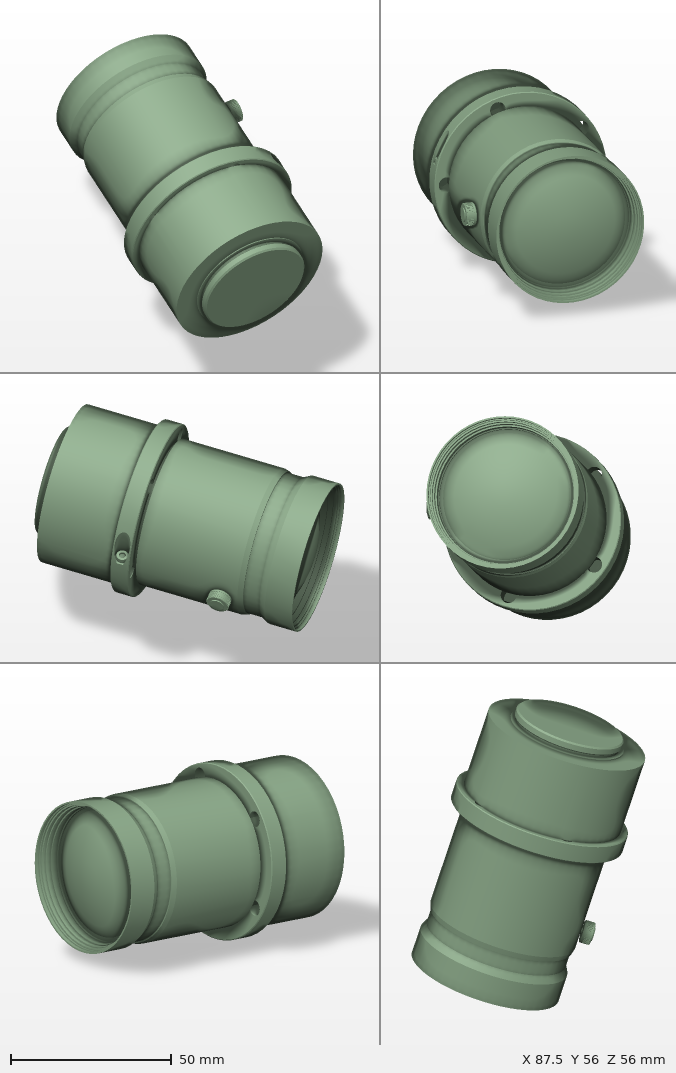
import cadquery as cq
import math

length = 87.5

front_rim_end = 8.9
neck_start = 11.4
neck_end = 16.45
barrel_start = 18.2
barrel_end = 51.6
collar_step = 52.2
flange_start = 52.7
flange_end = 58.6
body_end = 83.65
seat_disc_end = 84.0
mount_neck_end = 84.8
thread_start = 85.2
thread_end = 87.0

front_rim_diameter = 48.0
neck_diameter = 45.4
barrel_shoulder_diameter = 46.4
barrel_diameter = 47.3
collar_diameter = 44.8
collar_step_diameter = 44.3
flange_diameter = 56.0
body_diameter = 51.2
seat_disc_diameter = 37.0
mount_neck_diameter = 34.0
thread_diameter = 35.0
flange_chamfer = 0.3

bore_steps = [(47.0, 1.2), (46.3, 1.8), (45.2, 3.1), (44.3, 4.7), (43.2, 6.8)]
glass_recess_diameter = 42.35
glass_diameter = 40.1
glass_edge_x = 7.4
glass_apex_x = 1.75

flange_hole_count = 5
flange_hole_diameter = 5.0
flange_hole_circle_radius = 24.15

thumb_screw_x = 23.45
stem_diameter = 2.0
knob_diameter = 7.3
knob_start_y = 24.15
knurl_start_y = 25.0
knob_end_y = 27.5
knob_cap_diameter = 4.5
knob_cap_end_y = 27.8
knob_chamfer = 0.3
knurl_count = 40
knurl_depth = 0.2
knurl_width = 0.35

clamp_screw_x = (flange_start + flange_end) / 2
clamp_screw_y = 25.0
clamp_pocket_diameter = 5.0
clamp_pocket_floor_z = 6.1
clamp_head_diameter = 3.7
clamp_head_top_z = 7.9
clamp_socket_diameter = 2.2
clamp_socket_depth = 0.9


def cylinder_x(diameter, start, end):
    return cq.Workplane("YZ", origin=(start, 0, 0)).circle(diameter / 2).extrude(end - start)


def cylinder_y(diameter, x, start, end):
    plane = cq.Plane(origin=(x, start, 0), xDir=(1, 0, 0), normal=(0, 1, 0))
    return cq.Workplane(plane).circle(diameter / 2).extrude(end - start)


def cylinder_z(diameter, x, y, start, end):
    return cq.Workplane("XY", origin=(x, y, start)).circle(diameter / 2).extrude(end - start)


def revolve_about_x(profile):
    return profile.close().revolve(360, (0, 0, 0), (1, 0, 0))


def make_shell():
    """Solid of revolution for everything on the optical axis except the flange."""
    outline = [
        (0, front_rim_diameter),
        (front_rim_end, front_rim_diameter),
        (neck_start, neck_diameter),
        (neck_end, neck_diameter),
        (neck_end, barrel_shoulder_diameter),
        (barrel_start, barrel_diameter),
        (barrel_end, barrel_diameter),
        (barrel_end, collar_diameter),
        (collar_step, collar_diameter),
        (collar_step, collar_step_diameter),
        (flange_end, collar_step_diameter),
        (flange_end, body_diameter),
        (body_end, body_diameter),
        (body_end, seat_disc_diameter),
        (seat_disc_end, seat_disc_diameter),
        (seat_disc_end, mount_neck_diameter),
        (mount_neck_end, mount_neck_diameter),
        (thread_start, thread_diameter),
        (thread_end, thread_diameter),
        (length, mount_neck_diameter),
    ]
    points = [(x, diameter / 2) for x, diameter in outline]
    profile = cq.Workplane("XY").moveTo(0, 0).polyline(points, includeCurrent=True).lineTo(length, 0)
    return revolve_about_x(profile)


def make_front_cavity():
    """Stepped bore down to the glass, leaving the convex front element standing."""
    glass_radius = glass_diameter / 2
    sag = glass_edge_x - glass_apex_x
    dome_radius = (glass_radius**2 + sag**2) / (2 * sag)
    mid_radius = glass_radius / 2
    mid_x = glass_apex_x + dome_radius - math.sqrt(dome_radius**2 - mid_radius**2)

    profile = cq.Workplane("XY").moveTo(0, 0)
    start = 0
    for diameter, depth in bore_steps:
        profile = profile.lineTo(start, diameter / 2).lineTo(depth, diameter / 2)
        start = depth
    profile = profile.lineTo(start, glass_recess_diameter / 2)
    profile = profile.lineTo(glass_edge_x, glass_recess_diameter / 2)
    profile = profile.lineTo(glass_edge_x, glass_radius)
    profile = profile.threePointArc((mid_x, mid_radius), (glass_apex_x, 0))
    return revolve_about_x(profile)


def make_flange():
    """Chamfered ring with a circle of holes, one of them on the +Y side."""
    flange = cylinder_x(flange_diameter, flange_start, flange_end).edges().chamfer(flange_chamfer)
    holes = (
        cq.Workplane("YZ", origin=(flange_start, 0, 0))
        .polarArray(flange_hole_circle_radius, 0, 360, flange_hole_count)
        .circle(flange_hole_diameter / 2)
        .extrude(flange_end - flange_start)
    )
    return flange.cut(holes)


def add_clamp_screw(part):
    """Pocket in the flange holding a socket head screw."""
    x, y = clamp_screw_x, clamp_screw_y
    floor = clamp_pocket_floor_z
    pocket = cylinder_z(clamp_pocket_diameter, x, y, floor, flange_diameter / 2)
    head = cylinder_z(clamp_head_diameter, x, y, floor, clamp_head_top_z)
    socket_floor = clamp_head_top_z - clamp_socket_depth
    socket = cylinder_z(clamp_socket_diameter, x, y, socket_floor, clamp_head_top_z)
    return part.cut(pocket).union(head.cut(socket))


def make_thumb_screw():
    """Knurled knob on a thin stem rooted in the barrel."""
    stem = cylinder_y(stem_diameter, thumb_screw_x, neck_diameter / 2, knob_end_y)
    knob = cylinder_y(knob_diameter, thumb_screw_x, knob_start_y, knob_end_y).edges().chamfer(knob_chamfer)
    cap = cylinder_y(knob_cap_diameter, thumb_screw_x, knob_end_y, knob_cap_end_y)

    knob_radius = knob_diameter / 2
    plane = cq.Plane(origin=(thumb_screw_x, knurl_start_y, 0), xDir=(1, 0, 0), normal=(0, 1, 0))
    knurls = (
        cq.Workplane(plane)
        .polarArray(knob_radius, 0, 360, knurl_count)
        .rect(2 * knurl_depth, knurl_width)
        .extrude(knob_end_y - knurl_start_y)
    )
    return stem.union(knob.cut(knurls)).union(cap)


lens = make_shell().union(make_flange()).cut(make_front_cavity())
lens = add_clamp_screw(lens)
result = lens.union(make_thumb_screw())